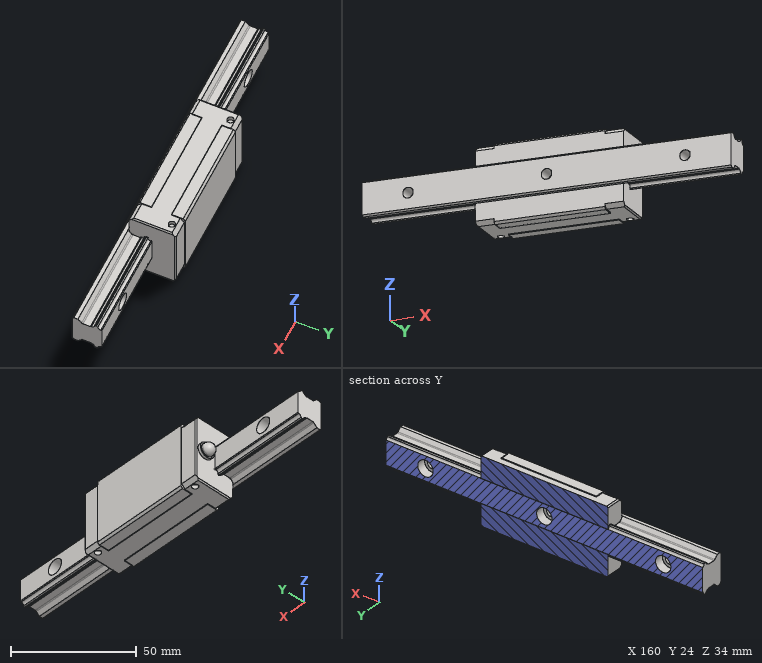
import cadquery as cq
import math


rail_length = 160.0
rail_half_width = 7.5
rail_height = 13.0
rail_base_chamfer = 0.7
rail_shoulder_height = 2.5
rail_neck_height = 4.4
rail_neck_half_width = 5.65
rail_neck_fillet = 0.8
rail_hole_pitch = 60.0
rail_hole_diameter = 4.5
counterbore_diameter = 7.5
counterbore_depth = 5.3

nose_height = 10.5
nose_half_flat = 0.15
nose_half_height = 0.75
nose_bevel_depth = 0.3
groove_radius = 1.3
groove_offset = nose_half_height + groove_radius
groove_center_half_width = rail_half_width - nose_bevel_depth
groove_floor_half_width = groove_center_half_width - groove_radius
groove_bevel = rail_height - nose_height - groove_offset

carriage_length = 64.4
carriage_bottom = 3.0
carriage_top = 24.0
carriage_half_width = 17.0
body_length = 48.0
body_chamfer = 1.0
pad_height = 0.4
cap_top = carriage_top - 0.5
cap_half_width = carriage_half_width - pad_height
cap_chamfer = 1.8
cap_end_chamfer = 0.6
side_recess_bottom = 9.1
side_recess_top = 17.9

port_diameter = 2.9
port_depth = 2.0
port_height = 19.9
port_half_spacing = 28.0

nipple_height = 18.5
flange_diameter = 7.6
flange_thickness = 1.3
dome_radius = 3.1
dome_neck_length = 0.6


def rail_outline():
    """Closed Y-Z section of the rail, symmetric about Z = 0."""
    arc_mid = groove_radius * math.sqrt(0.5)
    lower_center = nose_height - groove_offset
    upper_center = nose_height + groove_offset
    half = (
        cq.Workplane("YZ")
        .moveTo(0, 0)
        .lineTo(0, rail_half_width - rail_base_chamfer)
        .lineTo(rail_base_chamfer, rail_half_width)
        .lineTo(rail_shoulder_height, rail_half_width)
        .lineTo(rail_neck_height, rail_neck_half_width)
        .lineTo(lower_center - groove_bevel, rail_neck_half_width)
        .lineTo(lower_center, groove_floor_half_width)
        .threePointArc(
            (lower_center + arc_mid, groove_center_half_width - arc_mid),
            (lower_center + groove_radius, groove_center_half_width),
        )
        .lineTo(nose_height - nose_half_flat, rail_half_width)
        .lineTo(nose_height + nose_half_flat, rail_half_width)
        .lineTo(upper_center - groove_radius, groove_center_half_width)
        .threePointArc(
            (upper_center - arc_mid, groove_center_half_width - arc_mid),
            (upper_center, groove_floor_half_width),
        )
        .lineTo(rail_height, rail_neck_half_width)
        .lineTo(rail_height, 0)
    )
    return half.mirrorX()


def rail_bar():
    """Plain rail without holes; the carriage bore is cut with the same shape."""
    bar = rail_outline().extrude(rail_length).translate((-rail_length / 2, 0, 0))
    for side in (-1, 1):
        neck_corner = (0, rail_neck_height, side * rail_neck_half_width)
        bar = bar.edges(cq.selectors.NearestToPointSelector(neck_corner)).fillet(rail_neck_fillet)
    return bar


def make_rail():
    hole_places = [(-rail_hole_pitch, 0), (0, 0), (rail_hole_pitch, 0)]
    top_plane = cq.Plane(origin=(0, rail_height, 0), xDir=(1, 0, 0), normal=(0, 1, 0))
    return (
        rail_bar()
        .copyWorkplane(cq.Workplane(top_plane))
        .pushPoints(hole_places)
        .cboreHole(rail_hole_diameter, counterbore_diameter, counterbore_depth)
    )


def block(length, bottom, top, half_width):
    """Box centred in X and Z between two Y levels."""
    return cq.Workplane("XY").box(length, top - bottom, 2 * half_width).translate((0, (top + bottom) / 2, 0))


def make_carriage():
    ends = block(carriage_length, carriage_bottom, cap_top, cap_half_width)
    ends = ends.faces("<X or >X").edges("not(<Y)").chamfer(cap_end_chamfer)
    long_prism = block(carriage_length, carriage_bottom, cap_top, cap_half_width)
    ends = ends.intersect(long_prism.edges("|X").chamfer(cap_chamfer))

    body = block(body_length, carriage_bottom, carriage_top, carriage_half_width)
    body = body.edges("|X").chamfer(body_chamfer)
    for side in (-1, 1):
        recess = block(body_length, side_recess_bottom, side_recess_top, pad_height / 2)
        body = body.cut(recess.translate((0, 0, side * (carriage_half_width - pad_height / 2))))

    carriage = ends.union(body).cut(rail_bar())

    for side in (-1, 1):
        for end in (-1, 1):
            mouth = cq.Vector(end * port_half_spacing, port_height, side * cap_half_width)
            port = cq.Solid.makeCylinder(port_diameter / 2, port_depth, mouth, cq.Vector(0, 0, -side))
            carriage = carriage.cut(cq.Workplane(port))
    return carriage


def make_nipple():
    """Flange and round-nosed head, turned about an axis along X."""
    flange_front = flange_thickness
    dome_start = flange_front + dome_neck_length
    dome_mid = dome_radius * math.sqrt(0.5)
    profile = (
        cq.Workplane("XY")
        .moveTo(0, 0)
        .lineTo(0, flange_diameter / 2)
        .lineTo(-flange_front, flange_diameter / 2)
        .lineTo(-flange_front, dome_radius)
        .lineTo(-dome_start, dome_radius)
        .threePointArc((-dome_start - dome_mid, dome_mid), (-dome_start - dome_radius, 0))
        .close()
    )
    turned = profile.revolve(360, (0, 0, 0), (1, 0, 0))
    return turned.translate((-carriage_length / 2, nipple_height, 0))


rail = make_rail()
carriage = make_carriage()
nipple = make_nipple()

result = cq.Compound.makeCompound([body.solids().val() for body in (rail, carriage, nipple)])